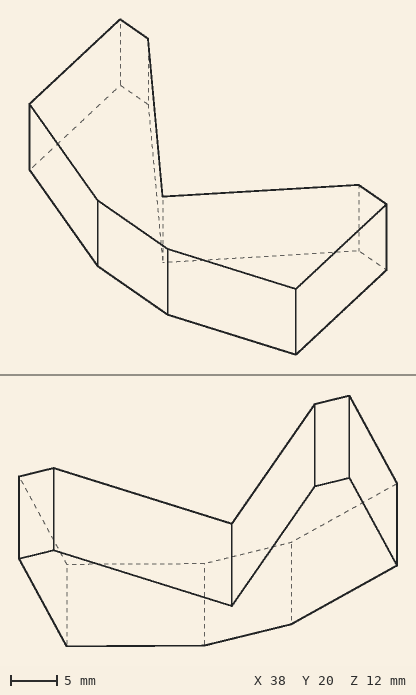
import cadquery as cq

width = 38.0
depth = 20.0
height = 12.0

notch_depth = 15.0
notch_half_width = notch_depth
side_length = notch_depth
front_flat_width = 10.0

half_width = width / 2
half_flat = front_flat_width / 2
back_y = depth / 2
front_y = -depth / 2
shoulder_y = back_y - side_length
notch_tip_y = back_y - notch_depth

outline = [
    (-half_flat, front_y),
    (half_flat, front_y),
    (half_width, shoulder_y),
    (half_width, back_y),
    (notch_half_width, back_y),
    (0, notch_tip_y),
    (-notch_half_width, back_y),
    (-half_width, back_y),
    (-half_width, shoulder_y),
]

result = cq.Workplane("XY").polyline(outline).close().extrude(height)